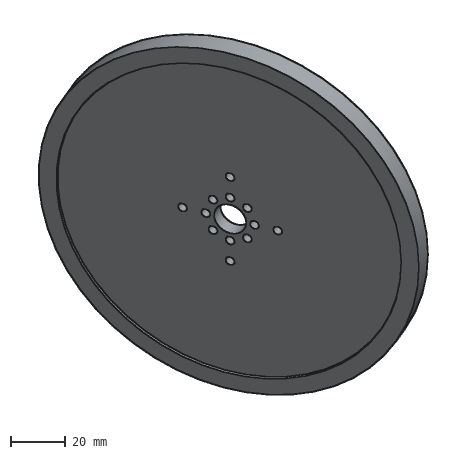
import cadquery as cq

outer_diameter = 152.4
thickness = 8.8

recess_diameter = 138.2
recess_depth = 1.4

bore_diameter = 12.8
hole_diameter = 3.5
inner_circle_radius = 9.8
inner_hole_count = 8
outer_circle_radius = 19.0
outer_hole_count = 4


def cut_recess(body, face):
    """Sink the round recess into one flat face of the disc."""
    return body.faces(face).workplane().circle(recess_diameter / 2).cutBlind(-recess_depth)


def drill_hole_circle(body, circle_radius, count):
    """Drill evenly spaced through holes, the first one on the X axis."""
    return (
        body.faces(">Y")
        .workplane(origin=(0, 0, 0))
        .polarArray(circle_radius, 0, 360, count)
        .hole(hole_diameter)
    )


back_plane = cq.Workplane("XZ", origin=(0, thickness / 2, 0))
disc = back_plane.circle(outer_diameter / 2).extrude(thickness)

for flat_face in ("<Y", ">Y"):
    disc = cut_recess(disc, flat_face)

disc = disc.faces(">Y").workplane(origin=(0, 0, 0)).hole(bore_diameter)
disc = drill_hole_circle(disc, inner_circle_radius, inner_hole_count)
disc = drill_hole_circle(disc, outer_circle_radius, outer_hole_count)

result = disc